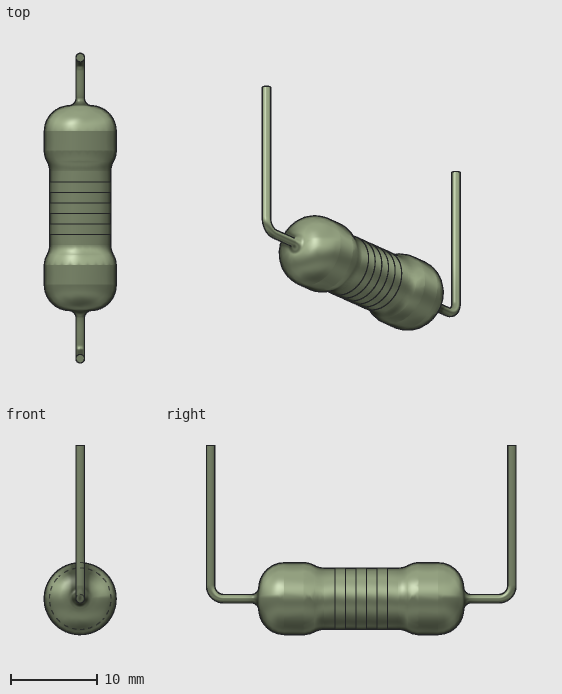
import cadquery as cq
import math

overall_length = 36.0
overall_height = 22.0

lead_diameter = 1.0
lead_radius = lead_diameter / 2
bend_radius = 1.5 * lead_diameter

cap_radius = 8.4 / 2
waist_radius = 7.13 / 2
band_radius = 7.15 / 2
band_width = 1.22
band_pitch = 2 * band_width
band_count = 3
body_half_length = 11.9
dome_radius = 3.0
shoulder_length = 2.38
flare_radius = 0.83

lead_offset = overall_length / 2 - lead_radius
lead_top = overall_height - cap_radius
waist_half_length = (band_pitch * band_count + band_width) / 2
cap_start = waist_half_length + shoulder_length
dome_start = body_half_length - dome_radius
dome_center_radius = cap_radius - dome_radius

flare_center_radius = lead_radius + flare_radius
flare_rise = flare_center_radius - dome_center_radius
center_distance = dome_radius + flare_radius
flare_end = dome_start + math.sqrt(center_distance**2 - flare_rise**2)
flare_angle = math.asin(flare_rise / center_distance)


def arc_point(center, radius, angle):
    """Point on a circle at an angle from +Y toward larger body radius."""
    center_r, center_y = center
    return (center_r + radius * math.sin(angle), center_y + radius * math.cos(angle))


def make_half_body():
    """Revolve the +Y half of the body: waist, S-shaped shoulder, domed cap and flare."""
    shoulder_middle = ((waist_radius + cap_radius) / 2, waist_half_length + shoulder_length / 2)
    dome_center = (dome_center_radius, dome_start)
    dome_middle_angle = (math.pi / 2 + flare_angle) / 2
    dome_end = arc_point(dome_center, dome_radius, flare_angle)
    flare_center = (flare_center_radius, flare_end)
    flare_middle_angle = math.pi + (flare_angle + math.pi / 2) / 2
    flare_middle = arc_point(flare_center, flare_radius, flare_middle_angle)
    profile = (
        cq.Workplane("XY")
        .lineTo(waist_radius, 0)
        .lineTo(waist_radius, waist_half_length)
        .tangentArcPoint(shoulder_middle, relative=False)
        .tangentArcPoint((cap_radius, cap_start), relative=False)
        .lineTo(cap_radius, dome_start)
        .threePointArc(arc_point(dome_center, dome_radius, dome_middle_angle), dome_end)
        .threePointArc(flare_middle, (lead_radius, flare_end))
        .lineTo(0, flare_end)
        .close()
    )
    return profile.revolve(360, (0, 0), (0, 1))


def make_band(y_center):
    """Slightly raised colour band around the waist."""
    end_plane = cq.Workplane("XZ", origin=(0, y_center + band_width / 2, 0))
    return end_plane.circle(band_radius).extrude(band_width)


def make_lead():
    """Bent wire running out along +Y and then up."""
    bend_start = lead_offset - bend_radius
    bend_side = bend_radius * math.sin(math.pi / 4)
    path = (
        cq.Workplane("YZ")
        .moveTo(flare_end, 0)
        .lineTo(bend_start, 0)
        .threePointArc((bend_start + bend_side, bend_radius - bend_side), (lead_offset, bend_radius))
        .lineTo(lead_offset, lead_top)
    )
    return cq.Workplane("XZ", origin=(0, flare_end, 0)).circle(lead_radius).sweep(path)


half = make_half_body().union(make_lead())
result = half.union(half.mirror("XZ"))
for index in range(band_count):
    result = result.union(make_band((index - (band_count - 1) / 2) * band_pitch))